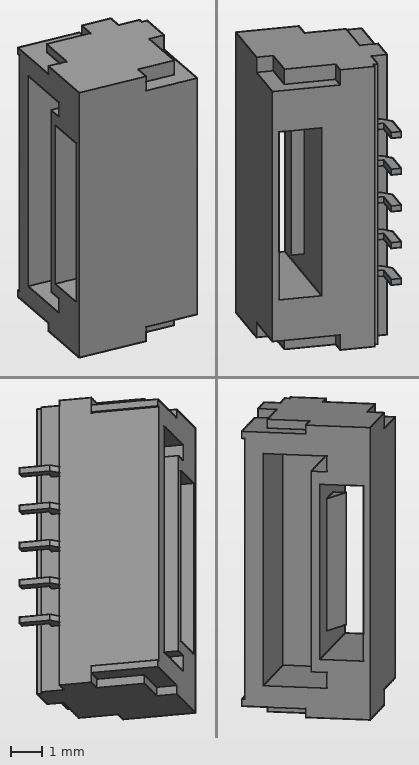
import cadquery as cq

LENGTH = 9.5
RIGHT = 4.16
LEFT = 0.095
BACK = 4.26

LEDGE_X = 0.62
LEDGE_Y = 3.31
STEP_X = 0.77
STEP_Y = 4.07

RECESS_DEPTH = 0.51
FRONT_RECESS_RIGHT = 2.07
FRONT_RECESS_BACK = 2.25
FRONT_CORE_X = 0.7
FRONT_CORE_Y = 0.665
REAR_RECESS_LEFT = 1.92
REAR_RECESS_FRONT = 2.41
REAR_CORE_X = 3.61
REAR_CORE_Y = 3.71
TAB_THICKNESS = 0.23
TAB_BACK = 2.22

POCKET_LEFT = 0.7
POCKET_RIGHT = 2.25
POCKET_LENGTH = 7.54
POCKET_DEPTH = 3.31
EXTENSION_RIGHT = 2.76
EXTENSION_HEIGHT = 0.51

WINDOW_LEFT = 2.54
WINDOW_RIGHT = 3.94
WINDOW_LENGTH = 5.69
WEDGE_LENGTH = 4.29
WEDGE_RIGHT = 2.96
WEDGE_FRONT = 1.14
WEDGE_BACK = 2.22

PIN_COUNT = 5
PIN_PITCH = 1.24
PIN_WIDTH = 0.2
PIN_TIP_Y = 4.61
PIN_LEG = 0.33
PIN_ELBOW_Y = 3.71
PIN_BEND_X = 0.31
PIN_BEND_Y = 3.59
PIN_EMBED = 0.095


def box(x0, x1, y0, y1, z0, z1):
    """Box between two opposite corners."""
    return cq.Workplane("XY").box(x1 - x0, y1 - y0, z1 - z0, centered=False).translate((x0, y0, z0))


def centered_box(x0, x1, y0, y1, height):
    """Box placed at mid-length of the housing."""
    bottom = (LENGTH - height) / 2
    return box(x0, x1, y0, y1, bottom, bottom + height)


def prism(points, z0, height):
    """Closed XY outline extruded upward from z0."""
    return cq.Workplane("XY").workplane(offset=z0).polyline(points).close().extrude(height)


def housing_block():
    outline = [
        (LEFT, 0), (RIGHT, 0), (RIGHT, BACK), (STEP_X, BACK),
        (STEP_X, STEP_Y), (LEDGE_X, STEP_Y), (LEDGE_X, LEDGE_Y), (LEFT, LEDGE_Y),
    ]
    return prism(outline, 0, LENGTH)


def front_corner(left, back, z0, height):
    """L shape wrapping the front-left corner."""
    outline = [
        (left, 0), (FRONT_RECESS_RIGHT, 0), (FRONT_RECESS_RIGHT, FRONT_CORE_Y),
        (FRONT_CORE_X, FRONT_CORE_Y), (FRONT_CORE_X, back), (left, back),
    ]
    return prism(outline, z0, height)


def rear_corner(z0, height):
    """L shape wrapping the rear-right corner."""
    outline = [
        (RIGHT, BACK), (REAR_RECESS_LEFT, BACK), (REAR_RECESS_LEFT, REAR_CORE_Y),
        (REAR_CORE_X, REAR_CORE_Y), (REAR_CORE_X, REAR_RECESS_FRONT), (RIGHT, REAR_RECESS_FRONT),
    ]
    return prism(outline, z0, height)


def mating_pocket():
    pocket = centered_box(POCKET_LEFT, POCKET_RIGHT, 0, POCKET_DEPTH, POCKET_LENGTH)
    bottom = (LENGTH - POCKET_LENGTH) / 2
    for z0 in (bottom, LENGTH - bottom - EXTENSION_HEIGHT):
        extension = box(POCKET_LEFT, EXTENSION_RIGHT, 0, POCKET_DEPTH, z0, z0 + EXTENSION_HEIGHT)
        pocket = pocket.union(extension)
    return pocket


def latch_wedge():
    """Ramp rising toward the back, rooted in the wall beside the window."""
    root = (POCKET_RIGHT + WINDOW_LEFT) / 2
    outline = [
        (root, WEDGE_FRONT), (WINDOW_LEFT, WEDGE_FRONT),
        (WEDGE_RIGHT, WEDGE_BACK), (root, WEDGE_BACK),
    ]
    return prism(outline, (LENGTH - WEDGE_LENGTH) / 2, WEDGE_LENGTH)


def pin(z_center):
    inner_end = LEDGE_X + PIN_EMBED
    outline = [
        (0, PIN_TIP_Y), (PIN_LEG, PIN_TIP_Y), (PIN_LEG, PIN_ELBOW_Y), (inner_end, PIN_ELBOW_Y),
        (inner_end, LEDGE_Y), (PIN_BEND_X, LEDGE_Y), (0, PIN_BEND_Y),
    ]
    return prism(outline, z_center - PIN_WIDTH / 2, PIN_WIDTH)


result = housing_block()

for z0 in (0, LENGTH - RECESS_DEPTH):
    result = result.cut(front_corner(LEFT, FRONT_RECESS_BACK, z0, RECESS_DEPTH))
    result = result.cut(rear_corner(z0, RECESS_DEPTH))

for z0 in (RECESS_DEPTH - TAB_THICKNESS, LENGTH - RECESS_DEPTH):
    result = result.union(front_corner(0, TAB_BACK, z0, TAB_THICKNESS))

result = result.cut(mating_pocket())
result = result.cut(centered_box(WINDOW_LEFT, WINDOW_RIGHT, 0, BACK, WINDOW_LENGTH))
result = result.union(latch_wedge())

for index in range(PIN_COUNT):
    offset = (index - (PIN_COUNT - 1) / 2) * PIN_PITCH
    result = result.union(pin(LENGTH / 2 + offset))